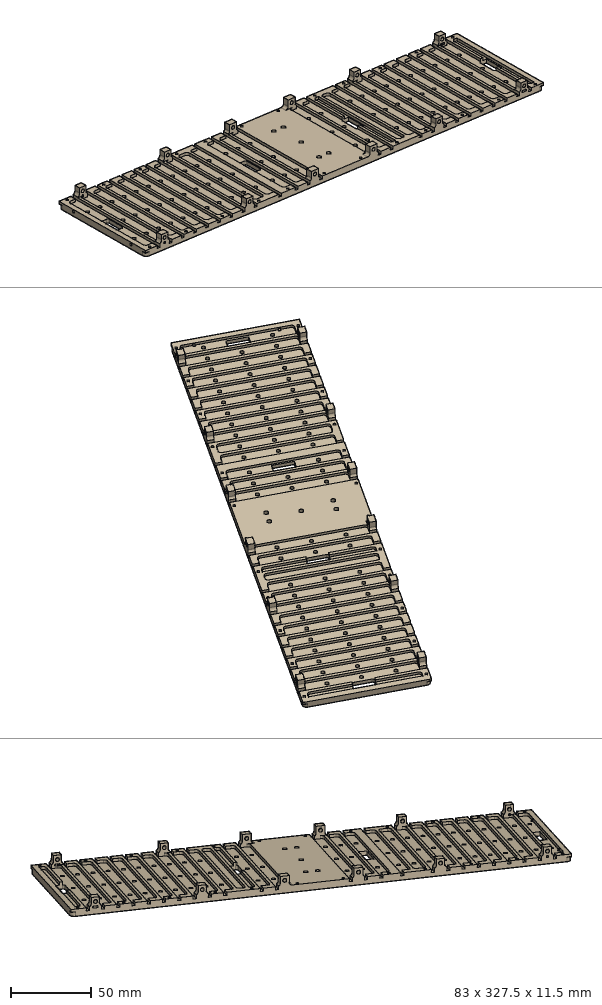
import cadquery as cq

LENGTH = 327.5
WIDTH = 83.0
TOTAL_HEIGHT = 11.5
PLATE_THICKNESS = 5.0
CORNER_RADIUS = 3.0
CORNER_HEIGHT = 3.0

MODULE = 2.0
POCKET_LENGTH = 4 * MODULE
PITCH = POCKET_LENGTH + MODULE
RECESS_DEPTH = 2.0
FLOOR_Z = PLATE_THICKNESS - RECESS_DEPTH
RAIL_WIDTH = 4.5
POCKET_WIDTH = WIDTH - 2 * RAIL_WIDTH
POCKET_CORNER_RADIUS = MODULE

BACK_POCKET_Y = LENGTH / 2 - 2 * MODULE
BACK_POCKET_LENGTH = 2 * MODULE
BACK_ROW_Y = BACK_POCKET_Y - BACK_POCKET_LENGTH - MODULE
BACK_ROW_COUNT = 10
WIDE_POCKET_Y = BACK_ROW_Y - BACK_ROW_COUNT * PITCH
WIDE_POCKET_LENGTH = 3 * MODULE
NARROW_POCKET_Y = WIDE_POCKET_Y - WIDE_POCKET_LENGTH - MODULE
NARROW_POCKET_LENGTH = 2 * MODULE
INNER_BACK_ROW_Y = NARROW_POCKET_Y - NARROW_POCKET_LENGTH - MODULE
INNER_BACK_ROW_COUNT = 2
INNER_FRONT_ROW_Y = -18.5
INNER_FRONT_ROW_COUNT = 3
FRONT_ROW_Y = -72.0
FRONT_ROW_COUNT = 9
CLOSED_POCKET_Y = FRONT_ROW_Y + PITCH
SINGLE_POCKET_Y = CLOSED_POCKET_Y + PITCH

POCKET_HOLE_DIAMETER = 2.45
POCKET_HOLE_X = 22.3
POCKET_HOLE_OFFSET = 4.5
RAIL_HOLE_DIAMETER = 1.5
RAIL_HOLE_X = 39.3
RAIL_HOLE_PITCH = 3 * PITCH
RAIL_HOLES_PER_GROUP = 4
RAIL_HOLE_GROUP_Y = 113.5
PANEL_HOLE_DIAMETER = 3.0
PANEL_HOLE_X = 21.5
PANEL_HOLE_Y = 4.0

WINDOW_WIDTH = 14.7
WINDOW_LENGTH = 3 * MODULE
WINDOW_CORNER_RADIUS = 1.3
OUTER_WINDOW_Y = 155.5
INNER_WINDOW_Y = 42.2

LUG_OFFSET = 3 * MODULE
LUG_FOOT_LENGTH = 4 * MODULE
OUTER_LUG_LENGTH = 5.2
OUTER_LUG_FILLET = 3.0
INNER_LUG_LENGTH = 6.0
INNER_LUG_FILLET = 2.0
LUG_HOLE_DIAMETER = 2.45
LUG_HOLE_Z = 8.5

END_HOLE_DIAMETER = 1.5
END_HOLE_X = 27.5
END_HOLE_Z = 3.3
END_HOLE_DEPTH = 4.5
SIDE_HOLE_DIAMETER = 1.3
SIDE_HOLE_Z = PLATE_THICKNESS
SIDE_SLOT_LENGTH = 3.5


def row(first_y, count):
    """Back edges of a row of pockets running toward -Y."""
    return [first_y - i * PITCH for i in range(count)]


BACK_ROW = row(BACK_ROW_Y, BACK_ROW_COUNT)
INNER_BACK_ROW = row(INNER_BACK_ROW_Y, INNER_BACK_ROW_COUNT)
INNER_FRONT_ROW = row(INNER_FRONT_ROW_Y, INNER_FRONT_ROW_COUNT)
FRONT_ROW = row(FRONT_ROW_Y, FRONT_ROW_COUNT)
GROOVED_POCKETS = BACK_ROW + INNER_BACK_ROW + INNER_FRONT_ROW + [SINGLE_POCKET_Y] + FRONT_ROW

LUG_SPACING = 7
REAR_LUG_POCKET = BACK_ROW[0]
FOREMOST_LUG_POCKET = FRONT_ROW[LUG_SPACING]
OUTER_LUG_POCKETS = (REAR_LUG_POCKET, BACK_ROW[LUG_SPACING], FRONT_ROW[0], FOREMOST_LUG_POCKET)


def box(size_x, size_y, size_z, x, y, bottom_z):
    return cq.Workplane("XY", origin=(x, y, bottom_z)).box(
        size_x, size_y, size_z, centered=(True, True, False)
    )


def plate():
    foot = box(WIDTH, LENGTH, CORNER_HEIGHT, 0, 0, 0).edges("|Z").fillet(CORNER_RADIUS)
    top = box(WIDTH, LENGTH, PLATE_THICKNESS - CORNER_HEIGHT, 0, 0, CORNER_HEIGHT)
    return foot.union(top)


def recess(size_x, back_y, size_y):
    return box(size_x, size_y, RECESS_DEPTH, 0, back_y - size_y / 2, FLOOR_Z)


def pocket(back_y, length, rounded_edges):
    return recess(POCKET_WIDTH, back_y, length).edges(rounded_edges).fillet(POCKET_CORNER_RADIUS)


def vertical_holes(points, diameter):
    return cq.Workplane("XY").pushPoints(points).circle(diameter / 2).extrude(PLATE_THICKNESS)


def pocket_holes():
    without_middle = (INNER_FRONT_ROW[-1], FRONT_ROW[-1])
    points = []
    for back_y in GROOVED_POCKETS + [CLOSED_POCKET_Y]:
        y = back_y - POCKET_HOLE_OFFSET
        points += [(-POCKET_HOLE_X, y), (POCKET_HOLE_X, y)]
        if back_y not in without_middle:
            points.append((0, y))
    return vertical_holes(points, POCKET_HOLE_DIAMETER)


def rail_holes():
    points = []
    for group_y in (-RAIL_HOLE_GROUP_Y, 0, RAIL_HOLE_GROUP_Y):
        for i in range(RAIL_HOLES_PER_GROUP):
            y = group_y + (i - (RAIL_HOLES_PER_GROUP - 1) / 2) * RAIL_HOLE_PITCH
            points += [(-RAIL_HOLE_X, y), (RAIL_HOLE_X, y)]
    return vertical_holes(points, RAIL_HOLE_DIAMETER)


def panel_holes():
    points = [(x, y) for x in (-PANEL_HOLE_X, PANEL_HOLE_X) for y in (-PANEL_HOLE_Y, PANEL_HOLE_Y)]
    return vertical_holes(points + [(0, 0)], PANEL_HOLE_DIAMETER)


def window(y):
    """Opening whose two corners toward the middle of the plate are rounded."""
    inner_edges = "|Z and <Y" if y > 0 else "|Z and >Y"
    blank = box(WINDOW_WIDTH, WINDOW_LENGTH, PLATE_THICKNESS, 0, y, 0)
    return blank.edges(inner_edges).fillet(WINDOW_CORNER_RADIUS)


def lug_pair(y, length, fillet, back_reach, front_reach):
    """Lugs on both rails, flaring into the plate and trimmed to the given reach along Y."""
    half = length / 2
    tangent_z = PLATE_THICKNESS + fillet
    profile = (
        cq.Workplane("YZ", origin=(-WIDTH / 2, y, 0))
        .moveTo(-half - fillet, FLOOR_Z)
        .lineTo(-half - fillet, PLATE_THICKNESS)
        .radiusArc((-half, tangent_z), -fillet)
        .lineTo(-half, TOTAL_HEIGHT)
        .lineTo(half, TOTAL_HEIGHT)
        .lineTo(half, tangent_z)
        .radiusArc((half + fillet, PLATE_THICKNESS), -fillet)
        .lineTo(half + fillet, FLOOR_Z)
        .close()
    )
    trim_length = back_reach + front_reach
    trim = box(WIDTH, trim_length, TOTAL_HEIGHT, 0, y + (back_reach - front_reach) / 2, 0)
    hole = (
        cq.Workplane("YZ", origin=(-WIDTH / 2, y, LUG_HOLE_Z))
        .circle(LUG_HOLE_DIAMETER / 2)
        .extrude(RAIL_WIDTH)
    )
    left = profile.extrude(RAIL_WIDTH).intersect(trim).cut(hole)
    return left.union(left.mirror("YZ"))


def lugs():
    foot = LUG_FOOT_LENGTH / 2
    pairs = [
        lug_pair(back_y - LUG_OFFSET, OUTER_LUG_LENGTH, OUTER_LUG_FILLET, foot, foot)
        for back_y in OUTER_LUG_POCKETS
    ]
    panel_reach = INNER_LUG_LENGTH / 2 + INNER_LUG_FILLET
    for back_y, front_reach in ((INNER_BACK_ROW[-1], panel_reach), (INNER_FRONT_ROW[0], foot)):
        y = back_y - LUG_OFFSET
        pairs.append(lug_pair(y, INNER_LUG_LENGTH, INNER_LUG_FILLET, foot, front_reach))
    return pairs


def end_holes():
    return (
        cq.Workplane("XZ", origin=(0, -LENGTH / 2, END_HOLE_Z))
        .pushPoints([(-END_HOLE_X, 0), (END_HOLE_X, 0)])
        .circle(END_HOLE_DIAMETER / 2)
        .extrude(-END_HOLE_DEPTH)
    )


def side_openings():
    """A slot under the rearmost lugs and a round hole under the foremost ones, through the rails."""
    slot = (
        cq.Workplane("YZ", origin=(-WIDTH / 2, REAR_LUG_POCKET - LUG_OFFSET, SIDE_HOLE_Z))
        .slot2D(SIDE_SLOT_LENGTH, SIDE_HOLE_DIAMETER)
        .extrude(RAIL_WIDTH)
    )
    hole = (
        cq.Workplane("YZ", origin=(-WIDTH / 2, FOREMOST_LUG_POCKET - LUG_OFFSET, SIDE_HOLE_Z))
        .circle(SIDE_HOLE_DIAMETER / 2)
        .extrude(RAIL_WIDTH)
    )
    left = slot.union(hole)
    return left.union(left.mirror("YZ"))


def recesses():
    shapes = []
    for back_y in GROOVED_POCKETS:
        shapes.append(recess(WIDTH, back_y, MODULE))
        shapes.append(pocket(back_y, POCKET_LENGTH, "|Z and <Y"))
    shapes.append(pocket(BACK_POCKET_Y, BACK_POCKET_LENGTH, "|Z and <Y"))
    shapes.append(pocket(NARROW_POCKET_Y, NARROW_POCKET_LENGTH, "|Z and <Y"))
    shapes.append(pocket(WIDE_POCKET_Y, WIDE_POCKET_LENGTH, "|Z"))
    shapes.append(pocket(CLOSED_POCKET_Y, POCKET_LENGTH, "|Z"))
    return shapes


def windows():
    return [window(side * y) for side in (-1, 1) for y in (INNER_WINDOW_Y, OUTER_WINDOW_Y)]


def solids(workplanes):
    return [solid for workplane in workplanes for solid in workplane.solids().vals()]


holes = [pocket_holes(), rail_holes(), panel_holes(), end_holes(), side_openings()]

body = plate().val().cut(*solids(recesses() + windows()))
body = body.fuse(*solids(lugs())).cut(*solids(holes))
result = cq.Workplane("XY").newObject(body.clean().Solids())